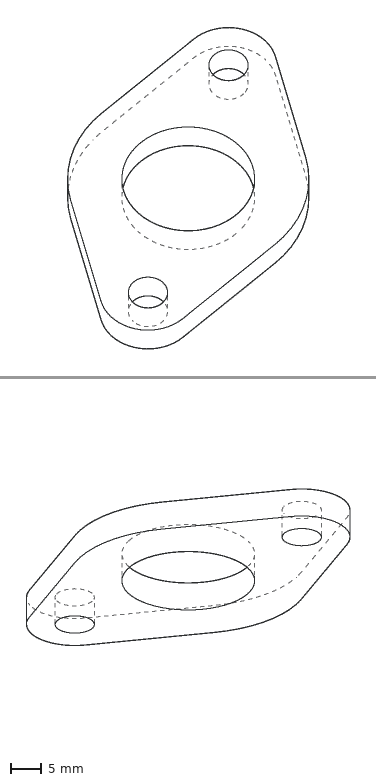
import cadquery as cq
import math

thickness = 5.0
center_radius = 20.0
end_radius = 8.0
bolt_spacing = 50.0
bore_diameter = 22.0
bolt_hole_diameter = 6.5

bolt_offset = bolt_spacing / 2

tangent_angle = math.asin((center_radius - end_radius) / bolt_offset)
middle_x = center_radius * math.cos(tangent_angle)
middle_y = center_radius * math.sin(tangent_angle)
end_x = end_radius * math.cos(tangent_angle)
end_y = bolt_offset + end_radius * math.sin(tangent_angle)
tip_y = bolt_offset + end_radius


def flange_plate():
    """Diamond-shaped plate with rounded middle and ends."""
    return (
        cq.Workplane("XY")
        .moveTo(middle_x, -middle_y)
        .threePointArc((center_radius, 0), (middle_x, middle_y))
        .lineTo(end_x, end_y)
        .threePointArc((0, tip_y), (-end_x, end_y))
        .lineTo(-middle_x, middle_y)
        .threePointArc((-center_radius, 0), (-middle_x, -middle_y))
        .lineTo(-end_x, -end_y)
        .threePointArc((0, -tip_y), (end_x, -end_y))
        .close()
        .extrude(thickness)
    )


def cut_bore(plate):
    """Central through bore."""
    return plate.faces(">Z").workplane(origin=(0, 0, thickness)).hole(bore_diameter)


def cut_bolt_holes(plate):
    """Through bolt hole at each rounded end."""
    return (
        plate.faces(">Z")
        .workplane(origin=(0, 0, thickness))
        .pushPoints([(0, bolt_offset), (0, -bolt_offset)])
        .hole(bolt_hole_diameter)
    )


result = cut_bolt_holes(cut_bore(flange_plate()))